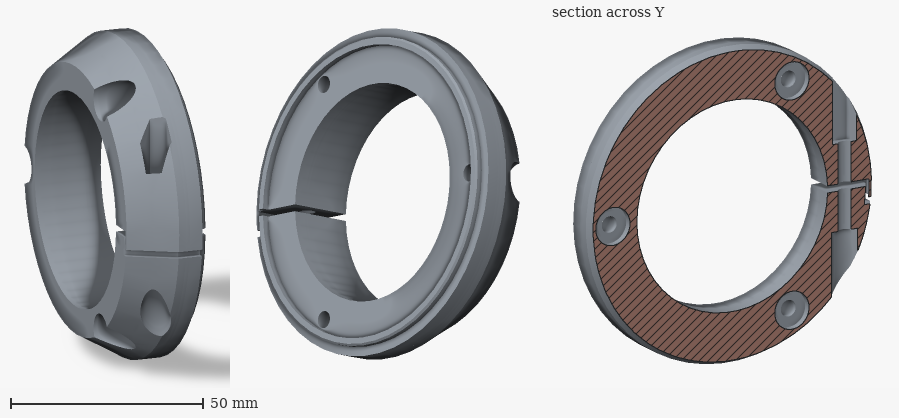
import cadquery as cq
import math

outer_radius = 86.13 / 2
bore_radius = 57.4 / 2

taper_length = 12.0
front_ring_end = 14.0
shim_end = 15.0
rear_flange_end = 18.5
spigot_end = 20.5

taper_angle = math.radians(30)
taper_small_radius = outer_radius - taper_length * math.tan(taper_angle)

spigot_radius = 40.6
spigot_wall = 2.0
spigot_chamfer = 0.5

screw_count = 3
screw_pitch_radius = 36.0
screw_angles = [60 + i * 360 / screw_count for i in range(screw_count)]
screw_hole_diameter = 4.5
head_recess_diameter = 10.2
head_recess_depth = 12.0

clamp_x = 33.85
clamp_y = 9.1
clamp_hole_diameter = 4.5
clamp_head_diameter = 8.0
nut_across_flats = 7.2
clamp_seat_height = 12.0

slot_width = 1.8
tongue_thickness = 0.7
rebate_depth = 1.5
tongue_tip_z = -4.0
rebate_floor_z = tongue_tip_z - slot_width

cut_margin = 5.0


def revolve_about_y(profile):
    return profile.close().revolve(360, (0, 0, 0), (0, 1, 0))


def bored(blank, start, end):
    """Cut the bore and the axial screw holes from a ring lying between two Y positions."""
    ring = blank.cut(axial_cylinder(bore_radius, start, end))
    for angle in screw_angles:
        x, z = screw_position(angle)
        ring = ring.cut(axial_cylinder(screw_hole_diameter / 2, start, end, x, z))
    return ring


def axial_cylinder(radius, start, end, x=0, z=0):
    """Cylinder parallel to Y between two Y positions."""
    plane = cq.Workplane("XZ", origin=(x, start, z))
    return plane.circle(radius).extrude(start - end)


def screw_position(angle):
    turn = math.radians(angle)
    return screw_pitch_radius * math.cos(turn), screw_pitch_radius * math.sin(turn)


def inset_body(inset):
    """Solid inside the collar's taper and outer cylinder, offset inward by a wall thickness."""
    small_radius = taper_small_radius - inset / math.cos(taper_angle)
    large_radius = outer_radius - inset
    shoulder = (large_radius - small_radius) / math.tan(taper_angle)
    profile = (
        cq.Workplane("XY")
        .moveTo(0, 0)
        .lineTo(small_radius, 0)
        .lineTo(large_radius, shoulder)
        .lineTo(large_radius, spigot_end)
        .lineTo(0, spigot_end)
    )
    return revolve_about_y(profile)


def split_block(bottom_z, top_z):
    """Block on the +X side over the whole collar length, between two heights."""
    plane = cq.Workplane("XY", origin=(0, 0, bottom_z))
    return plane.box(outer_radius + cut_margin, spigot_end, top_z - bottom_z, centered=False)


def make_split():
    under_tongue = inset_body(tongue_thickness)
    rebate_core = inset_body(rebate_depth)
    slot = split_block(-slot_width / 2, slot_width / 2).intersect(under_tongue)
    rebate = split_block(rebate_floor_z, 0).intersect(under_tongue).cut(rebate_core)
    tip_gap = split_block(rebate_floor_z, tongue_tip_z).cut(rebate_core)
    return slot.union(rebate).union(tip_gap)


def make_clamp_screw_cutter():
    plane = cq.Workplane("XY", origin=(clamp_x, clamp_y, 0))
    hole = plane.circle(clamp_hole_diameter / 2).extrude(outer_radius, both=True)
    nut_across_corners = nut_across_flats / math.cos(math.pi / 6)
    nut = plane.workplane(offset=clamp_seat_height).polygon(6, nut_across_corners).extrude(outer_radius)
    head = plane.workplane(offset=-clamp_seat_height).circle(clamp_head_diameter / 2).extrude(-outer_radius)
    return hole.union(nut).union(head)


def make_front_ring(split):
    profile = (
        cq.Workplane("XY")
        .moveTo(0, 0)
        .lineTo(taper_small_radius, 0)
        .lineTo(outer_radius, taper_length)
        .lineTo(outer_radius, front_ring_end)
        .lineTo(0, front_ring_end)
    )
    ring = bored(revolve_about_y(profile), 0, front_ring_end)
    for angle in screw_angles:
        x, z = screw_position(angle)
        ring = ring.cut(axial_cylinder(head_recess_diameter / 2, 0, head_recess_depth, x, z))
    return ring.cut(make_clamp_screw_cutter()).cut(split)


def make_shim(split):
    blank = axial_cylinder(outer_radius, front_ring_end, shim_end)
    return bored(blank, front_ring_end, shim_end).cut(split)


def make_rear_ring(split):
    flange = axial_cylinder(outer_radius, shim_end, rear_flange_end)
    spigot = axial_cylinder(spigot_radius, rear_flange_end, spigot_end)
    spigot = spigot.faces(">Y").chamfer(spigot_chamfer)
    rim_recess = axial_cylinder(spigot_radius - spigot_wall, rear_flange_end, spigot_end)
    ring = flange.union(spigot).cut(rim_recess)
    return bored(ring, shim_end, rear_flange_end).cut(split)


split = make_split()
front_ring = make_front_ring(split)
shim = make_shim(split)
rear_ring = make_rear_ring(split)

bodies = [ring.solids().val() for ring in (front_ring, shim, rear_ring)]
result = cq.Compound.makeCompound(bodies)